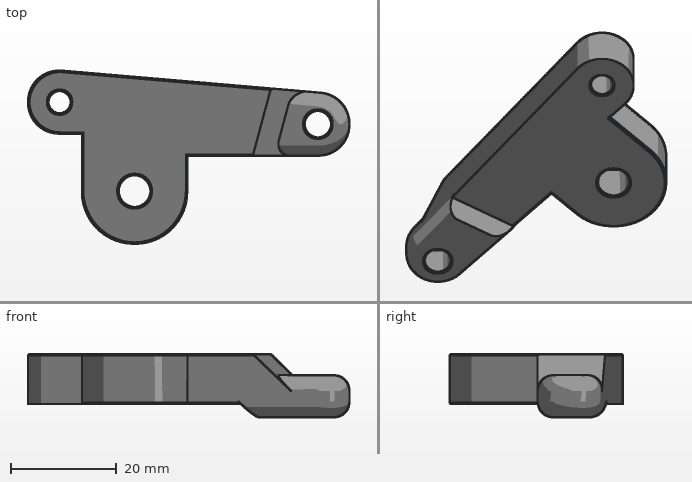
import cadquery as cq
import math

ARM_BOTTOM = 0.0
ARM_TOP = 8.0
BODY_BOTTOM = 2.5
BODY_TOP = 12.0

PIVOT_RADIUS = 10.0
END_RADIUS = 6.0
LEFT_X, LEFT_Y = -14.2, 16.85
TIP_X, TIP_Y = 34.71, 12.68

PIVOT_HOLE = 6.0
LEFT_HOLE = 4.2
TIP_HOLE = 5.0

ARM_FILLET = 3.0
EDGE_CHAMFER = 0.3

RAMP_TURN = -15.0
TOP_RAMP_FOOT = 6.35
BOTTOM_RAMP_FOOT = 10.0
JOINT_Z = (ARM_BOTTOM + ARM_TOP) / 2
ARM_ROOT_X = 10.0
SELECT_MARGIN = 0.1
REACH = 80.0

side_angle = math.atan2(TIP_Y - LEFT_Y, TIP_X - LEFT_X)
SIDE_DX = -END_RADIUS * math.sin(side_angle)
SIDE_DY = END_RADIUS * math.cos(side_angle)


def upper_side_y(x):
    """Y of the straight upper side at a given X."""
    return LEFT_Y + SIDE_DY + (x - LEFT_X - SIDE_DX) * math.tan(side_angle)


def round_tip(sketch):
    """From the lower side, go round the arm tip to the upper side."""
    return (
        sketch.lineTo(TIP_X, TIP_Y - END_RADIUS)
        .threePointArc((TIP_X + END_RADIUS, TIP_Y), (TIP_X + SIDE_DX, TIP_Y + SIDE_DY))
    )


def ramp_prism(points):
    """Prism across the arm from (distance past tip centre, Z) points."""
    return (
        cq.Workplane("XZ").polyline(points).close().extrude(REACH, both=True)
        .rotate((0, 0, 0), (0, 0, 1), RAMP_TURN)
        .translate((TIP_X, TIP_Y, 0))
    )


def top_ramp(z):
    """Distance of the top ramp past the tip centre at height Z."""
    return -TOP_RAMP_FOOT + ARM_TOP - z


def bottom_ramp(z):
    """Distance of the bottom ramp past the tip centre at height Z."""
    return -BOTTOM_RAMP_FOOT + ARM_BOTTOM - z


def lower_chamfer_edges():
    """Bottom edges round the pivot lobe and along the arm's lower side.

    The left end and the upper side keep a sharp bottom edge.
    """
    return cq.selectors.BoxSelector(
        (-PIVOT_RADIUS - SELECT_MARGIN, -PIVOT_RADIUS - SELECT_MARGIN, BODY_BOTTOM - SELECT_MARGIN),
        (TIP_X, LEFT_Y - END_RADIUS - SELECT_MARGIN, BODY_BOTTOM + SELECT_MARGIN),
    )


def make_body():
    """Flat plate with two rounded lobes, ending in the top ramp."""
    sketch = (
        cq.Workplane("XY", origin=(0, 0, BODY_BOTTOM))
        .moveTo(LEFT_X, LEFT_Y - END_RADIUS)
        .lineTo(-PIVOT_RADIUS, LEFT_Y - END_RADIUS)
        .lineTo(-PIVOT_RADIUS, 0)
        .threePointArc((0, -PIVOT_RADIUS), (PIVOT_RADIUS, 0))
        .lineTo(PIVOT_RADIUS, TIP_Y - END_RADIUS)
    )
    plate = (
        round_tip(sketch)
        .lineTo(LEFT_X + SIDE_DX, LEFT_Y + SIDE_DY)
        .threePointArc((LEFT_X - END_RADIUS, LEFT_Y), (LEFT_X, LEFT_Y - END_RADIUS))
        .close()
        .extrude(BODY_TOP - BODY_BOTTOM)
        .faces(">Z").chamfer(EDGE_CHAMFER)
    )
    keep = ramp_prism([
        (-REACH, BODY_BOTTOM),
        (bottom_ramp(BODY_BOTTOM), BODY_BOTTOM),
        (bottom_ramp(JOINT_Z), JOINT_Z),
        (top_ramp(JOINT_Z), JOINT_Z),
        (top_ramp(BODY_TOP), BODY_TOP),
        (-REACH, BODY_TOP),
    ])
    return plate.intersect(keep).edges(lower_chamfer_edges()).chamfer(EDGE_CHAMFER)


def make_arm():
    """Lower arm with fully rounded long edges, starting at the bottom ramp."""
    sketch = cq.Workplane("XY", origin=(0, 0, ARM_BOTTOM)).moveTo(ARM_ROOT_X, TIP_Y - END_RADIUS)
    bar = (
        round_tip(sketch)
        .lineTo(ARM_ROOT_X, upper_side_y(ARM_ROOT_X))
        .close()
        .extrude(ARM_TOP - ARM_BOTTOM)
    )
    bar = bar.faces("<Z or >Z").edges("not <X").fillet(ARM_FILLET)
    keep = ramp_prism([
        (bottom_ramp(ARM_BOTTOM), ARM_BOTTOM),
        (REACH, ARM_BOTTOM),
        (REACH, ARM_TOP),
        (bottom_ramp(ARM_TOP), ARM_TOP),
    ])
    return bar.intersect(keep)


def hole_cutter(x, y, diameter, bottom, top):
    """Through hole with a small chamfer at both mouths."""
    radius = diameter / 2
    mouth = radius + EDGE_CHAMFER
    profile = [
        (0, bottom),
        (mouth, bottom),
        (radius, bottom + EDGE_CHAMFER),
        (radius, top - EDGE_CHAMFER),
        (mouth, top),
        (0, top),
    ]
    cutter = cq.Workplane("XZ").polyline(profile).close().revolve(360, (0, 0, 0), (0, 1, 0))
    return cutter.translate((x, y, 0))


result = make_body().union(make_arm())
result = result.cut(hole_cutter(0, 0, PIVOT_HOLE, BODY_BOTTOM, BODY_TOP))
result = result.cut(hole_cutter(LEFT_X, LEFT_Y, LEFT_HOLE, BODY_BOTTOM, BODY_TOP))
result = result.cut(hole_cutter(TIP_X, TIP_Y, TIP_HOLE, ARM_BOTTOM, ARM_TOP))